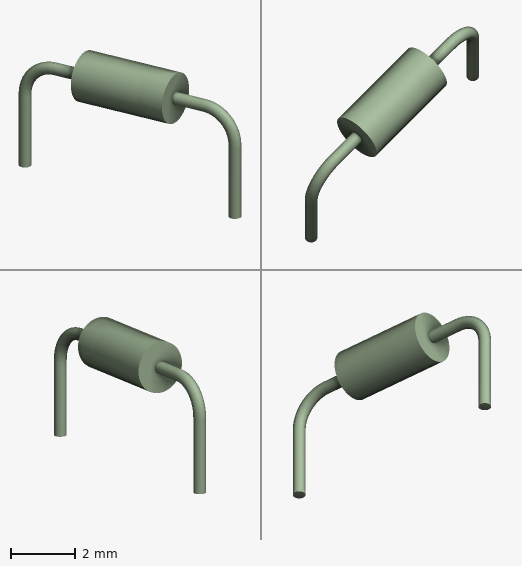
import cadquery as cq
import math

overall_length = 8.02
overall_height = 4.36
body_diameter = 1.65
body_length = 3.305
band_length = 0.89
wire_diameter = 0.4
bend_radius = 1.1

body_start = -body_length / 2
body_end = body_length / 2
band_start = body_end - band_length
leg_x = (overall_length - wire_diameter) / 2
bend_x = leg_x - bend_radius
leg_bottom = body_diameter / 2 - overall_height


def make_sleeve(start, end):
    """Cylinder along X with a bore that fits the wire."""
    return (
        cq.Workplane("YZ", origin=(start, 0, 0))
        .circle(body_diameter / 2)
        .circle(wire_diameter / 2)
        .extrude(end - start)
    )


def make_wire():
    """One continuous round wire, bent down at both ends."""
    bend_mid_x = bend_x + bend_radius * math.sin(math.pi / 4)
    bend_mid_z = -bend_radius + bend_radius * math.cos(math.pi / 4)
    path = (
        cq.Workplane("XZ")
        .moveTo(-leg_x, leg_bottom)
        .lineTo(-leg_x, -bend_radius)
        .threePointArc((-bend_mid_x, bend_mid_z), (-bend_x, 0))
        .lineTo(bend_x, 0)
        .threePointArc((bend_mid_x, bend_mid_z), (leg_x, -bend_radius))
        .lineTo(leg_x, leg_bottom)
    )
    return (
        cq.Workplane("XY", origin=(-leg_x, 0, leg_bottom))
        .circle(wire_diameter / 2)
        .sweep(path)
    )


housing = make_sleeve(body_start, band_start)
band = make_sleeve(band_start, body_end)
wire = make_wire()

result = cq.Compound.makeCompound([housing.val(), band.val(), wire.val()])